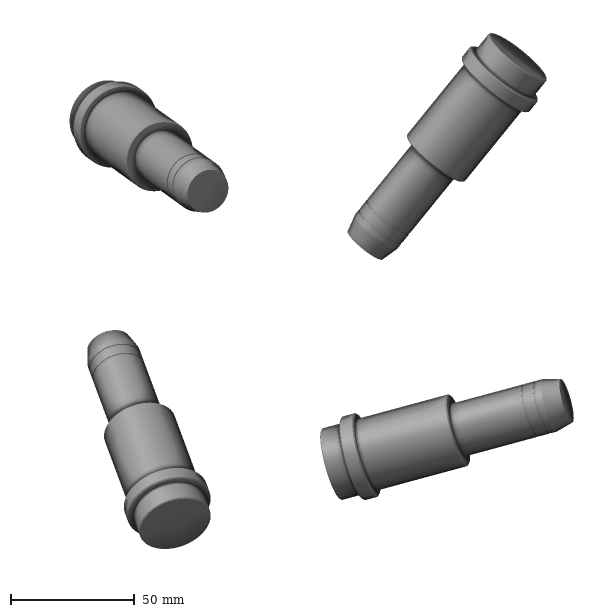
import cadquery as cq

total_length = 100.0
body_diameter = 30.0
body_end = 54.0
flange_diameter = 35.0
flange_start = 9.0
flange_end = 15.0
shank_diameter = 22.0

head_chamfer = 0.4
edge_chamfer = 0.5

tip_taper_length = 7.2
tip_diameter = 18.2

groove_depth = 0.3
flange_relief_width = 1.0
shank_groove_width = 0.9
shank_groove_starts = (84.4, 89.5)
shoulder_relief_width = 0.3


def cylinder(start, end, diameter):
    """Solid cylinder along X between two stations."""
    return cq.Workplane("YZ", origin=(start, 0, 0)).circle(diameter / 2).extrude(end - start)


def groove(start, width, diameter):
    """Ring that cuts a shallow groove into a cylinder of the given diameter."""
    outer = cylinder(start, start + width, diameter)
    return outer.cut(cylinder(start, start + width, diameter - 2 * groove_depth))


body = cylinder(0, body_end, body_diameter)
body = body.faces("<X").chamfer(head_chamfer)
body = body.faces(">X").chamfer(edge_chamfer)
for relief_start in (flange_start - flange_relief_width, flange_end):
    body = body.cut(groove(relief_start, flange_relief_width, body_diameter))

flange = cylinder(flange_start, flange_end, flange_diameter).edges().chamfer(edge_chamfer)

taper_start = total_length - tip_taper_length
shank = cylinder(body_end, taper_start, shank_diameter)
shank = shank.cut(groove(body_end, shoulder_relief_width, shank_diameter))
for groove_start in shank_groove_starts:
    shank = shank.cut(groove(groove_start, shank_groove_width, shank_diameter))

tip = (
    cq.Workplane("YZ", origin=(taper_start, 0, 0))
    .circle(shank_diameter / 2)
    .workplane(offset=tip_taper_length)
    .circle(tip_diameter / 2)
    .loft()
)

result = body.union(flange).union(shank).union(tip)